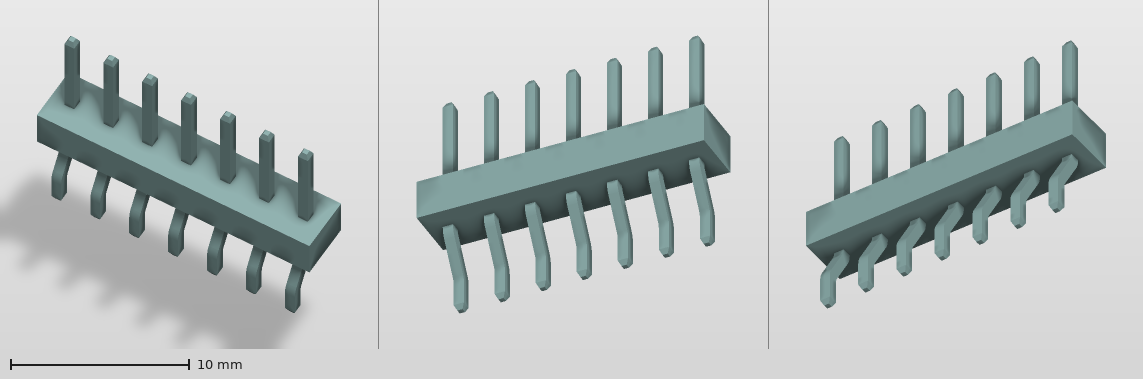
import cadquery as cq
import math

HOUSING_LENGTH = 17.78
HOUSING_DEPTH = 3.47
HOUSING_HEIGHT = 2.47

PIN_COUNT = 7
PITCH = HOUSING_LENGTH / PIN_COUNT
PIN_WIDTH = 0.64
PIN_ABOVE_HOUSING = 6.01
PIN_BELOW_HOUSING = 4.77

TIP_LENGTH = 0.32
TIP_WIDTH = PIN_WIDTH / 2

BEND_ANGLE = math.radians(30.6)
BEND_INSIDE_RADIUS = PIN_WIDTH
BEND_RADIUS = BEND_INSIDE_RADIUS + PIN_WIDTH / 2
BEND_START_Z = -0.05
TAIL_Y = -(HOUSING_DEPTH - PIN_WIDTH) / 2

SHANK_TOP_Z = HOUSING_HEIGHT + PIN_ABOVE_HOUSING - TIP_LENGTH
SHANK_BOTTOM_Z = TIP_LENGTH - PIN_BELOW_HOUSING


def arc_offset(angle):
    """Sideways and downward travel along a bend that has turned by angle from vertical."""
    return BEND_RADIUS * (1 - math.cos(angle)), BEND_RADIUS * math.sin(angle)


def make_pin_centerline():
    """Line down the middle of the shank, in the YZ plane."""
    bend_side, bend_drop = arc_offset(BEND_ANGLE)
    mid_side, mid_drop = arc_offset(BEND_ANGLE / 2)
    slant_drop = (-TAIL_Y - 2 * bend_side) / math.tan(BEND_ANGLE)
    bend_end_z = BEND_START_Z - 2 * bend_drop - slant_drop
    return (
        cq.Workplane("YZ")
        .moveTo(0, SHANK_TOP_Z)
        .lineTo(0, BEND_START_Z)
        .threePointArc((-mid_side, BEND_START_Z - mid_drop), (-bend_side, BEND_START_Z - bend_drop))
        .lineTo(TAIL_Y + bend_side, bend_end_z + bend_drop)
        .threePointArc((TAIL_Y + mid_side, bend_end_z + mid_drop), (TAIL_Y, bend_end_z))
        .lineTo(TAIL_Y, SHANK_BOTTOM_Z)
    )


def make_tip(y, base_z, direction):
    """Square taper that starts at base_z and points up (direction 1) or down (-1)."""
    return (
        cq.Workplane("XY", origin=(0, y, base_z))
        .rect(PIN_WIDTH, PIN_WIDTH)
        .workplane(offset=direction * TIP_LENGTH)
        .rect(TIP_WIDTH, TIP_WIDTH)
        .loft(ruled=True)
    )


def make_pin():
    """One bent square pin, with its straight upper part on the Z axis."""
    shank = (
        cq.Workplane("XY", origin=(0, 0, SHANK_TOP_Z))
        .rect(PIN_WIDTH, PIN_WIDTH)
        .sweep(make_pin_centerline())
    )
    top_tip = make_tip(0, SHANK_TOP_Z, 1)
    bottom_tip = make_tip(TAIL_Y, SHANK_BOTTOM_Z, -1)
    return shank.union(top_tip).union(bottom_tip).solids()


def make_housing(pin_positions):
    """Rectangular block with a square through hole for each pin."""
    block = cq.Workplane("XY").box(
        HOUSING_LENGTH, HOUSING_DEPTH, HOUSING_HEIGHT, centered=(True, True, False)
    )
    pin_holes = (
        cq.Workplane("XY")
        .pushPoints([(x, 0) for x in pin_positions])
        .rect(PIN_WIDTH, PIN_WIDTH)
        .extrude(HOUSING_HEIGHT)
    )
    return block.cut(pin_holes).solids()


pin_positions = [(i - (PIN_COUNT - 1) / 2) * PITCH for i in range(PIN_COUNT)]

housing = make_housing(pin_positions)
pin = make_pin()
pins = [pin.translate((x, 0, 0)).val() for x in pin_positions]

result = cq.Compound.makeCompound([housing.val(), *pins])